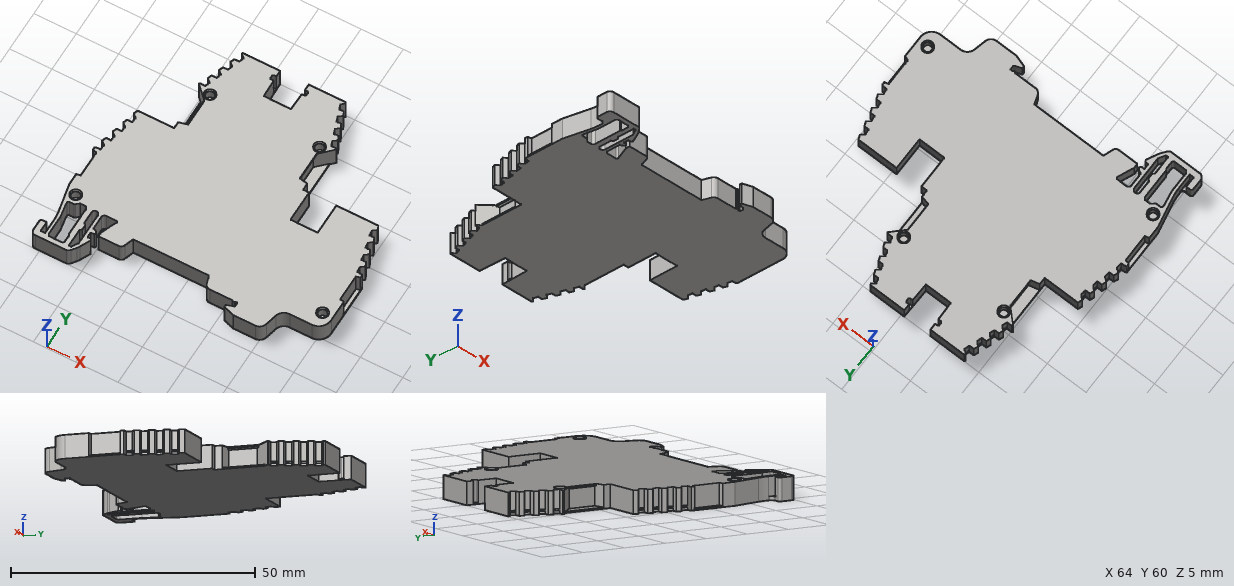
import cadquery as cq
import math

thickness = 5.0

right_wall_x = 64.0
left_wall_x = 0.85
lower_centre_x = (left_wall_x + right_wall_x) / 2
lower_top_y = 37.0
body_base_y = 9.1

upper_centre_x = 27.85
upper_half_width = 15.25
upper_left_x = upper_centre_x - upper_half_width
upper_top_y = 60.0
upper_top_half_width = 12.15

tooth_count = 4
tooth_crest = (-1.15, 0)
tooth_tip = (-1.55, -1.0)
tooth_root = (-0.65, -1.7)
upper_tooth_start = (17.1, 60.7)
upper_tooth_pitch = (-1.0, -2.9)
lower_tooth_start = (5.2, lower_top_y)
lower_tooth_pitch = (-0.8, -3.0)
barb_tip = (11.6, 49.0)
barb_land = 0.2
lower_land_drop = 0.1

slit_bottom_z = 0.6
slit_height = 0.4
slit_depth = 0.25

upper_notch_floor_y = 52.95
upper_notch_half_width = 3.2
upper_notch_top_half_width = 3.4
lower_notch_left_x = 44.5
lower_notch_right_x = 50.9
lower_notch_floor_y = 29.3
dimple_width = 1.15
dimple_bottom_offset = 4.2
dimple_corner_radius = 0.25
dimple_y = 57.8

web_thickness = 0.3
upper_pocket_depth = 2.0
upper_pocket_end_y = 39.1
upper_pocket_mouth_y = 38.7
lip_thickness = 0.3
lip_slope_height = 0.25
lip_overhang = 0.5
lower_pocket_depth = 0.95
lower_pocket_top_y = 24.1
lower_pocket_bottom_y = 17.2
lower_pocket_taper = 0.2

socket_mouth_radius = 1.35
socket_mouth_angle = 90
socket_radius = 1.0
socket_depth = 2.55
upper_socket_offset = 12.95
upper_socket_y = 47.75
lower_socket_offset = 29.15
lower_socket_y = 12.75

clip_slot_floor_z = 0.85
clip_slot_left_x = 1.5
clip_slot_right_x = 2.5
clip_slot_bottom_y = 1.5
hook_top_y = 4.0
hook_fillet_radius = 0.8
clip_window_bottom_y = 1.2
clip_window_top_y = 11.35

foot_base_y = 6.2
rail_hook_base_y = 3.15


def corner_arc(before, corner, after):
    """Start, middle and end of the arc that rounds a corner (x, y, radius)."""
    x, y, radius = corner
    angle_in = math.atan2(before[1] - y, before[0] - x)
    angle_out = math.atan2(after[1] - y, after[0] - x)
    half_angle = abs(math.remainder(angle_out - angle_in, 2 * math.pi)) / 2
    bisector = angle_in + math.remainder(angle_out - angle_in, 2 * math.pi) / 2
    tangent = radius / math.tan(half_angle)
    to_middle = radius / math.sin(half_angle) - radius
    return [
        (x + length * math.cos(angle), y + length * math.sin(angle))
        for length, angle in ((tangent, angle_in), (to_middle, bisector), (tangent, angle_out))
    ]


def rounded_prism(corners, bottom, top):
    """Prism over a closed outline of (x, y) or (x, y, radius) corners; the first is sharp."""
    sketch = cq.Workplane("XY").workplane(offset=bottom).moveTo(*corners[0])
    for index in range(1, len(corners)):
        corner = corners[index]
        if len(corner) == 2:
            sketch = sketch.lineTo(*corner)
        else:
            following = corners[(index + 1) % len(corners)]
            start, middle, end = corner_arc(corners[index - 1], corner, following)
            sketch = sketch.lineTo(*start).threePointArc(middle, end)
    return sketch.close().extrude(top - bottom)


def mirrored_points(points, centre_x):
    return [(2 * centre_x - x, y) for x, y in points]


def mirrored_solid(solid, centre_x):
    return solid.mirror("YZ", (centre_x, 0, 0))


def shifted(point, offset, times=1):
    return (point[0] + times * offset[0], point[1] + times * offset[1])


def tooth_flank(start, pitch):
    """Left flank from the first tooth tip down to the last root corner."""
    points = []
    for index in range(tooth_count):
        upper_corner = shifted(start, pitch, index)
        lower_corner = shifted(start, pitch, index + 1)
        points += [shifted(upper_corner, tooth_tip), shifted(upper_corner, tooth_root), lower_corner]
        if index < tooth_count - 1:
            points.append(shifted(lower_corner, tooth_crest))
    return points


def upper_left_edge():
    """Left edge of the upper tier, from its top to the lower tier."""
    flank = tooth_flank(upper_tooth_start, upper_tooth_pitch)
    barb_base_y = barb_tip[1] - (upper_left_x - barb_tip[0])
    return [
        (upper_centre_x - upper_top_half_width, upper_top_y),
        *flank,
        (barb_tip[0] + barb_land, flank[-1][1]),
        barb_tip,
        (upper_left_x, barb_base_y),
        (upper_left_x, lower_top_y),
    ]


def lower_left_edge():
    """Left flank of the lower tier, from its top to the plain wall."""
    flank = tooth_flank(lower_tooth_start, lower_tooth_pitch)
    last_x, last_y = flank[-1]
    return [
        shifted(lower_tooth_start, tooth_crest),
        *flank,
        ((left_wall_x + last_x) / 2, last_y),
        (left_wall_x, last_y - lower_land_drop),
    ]


def upper_notch():
    left_half = [
        (upper_centre_x - upper_notch_half_width, upper_notch_floor_y),
        (upper_centre_x - upper_notch_top_half_width, upper_top_y),
    ]
    return mirrored_points(left_half, upper_centre_x)[::-1] + left_half


def lower_notch():
    return [
        (lower_notch_left_x, lower_top_y),
        (lower_notch_left_x, lower_notch_floor_y),
        (lower_notch_right_x, lower_notch_floor_y),
        (lower_notch_right_x, lower_top_y),
    ]


clip_edge = [
    (left_wall_x, 14.35),
    (clip_slot_right_x, 6.35, 12.8),
    (clip_slot_right_x, hook_top_y, hook_fillet_radius),
    (0, hook_top_y, 0.6),
    (0, 0, 1.0),
    (8.85, 0, 1.0),
    (10.2, 1.8, 3.85),
    (11.5, 4.5),
    (11.35, 4.9),
    (10.55, 4.9),
    (10.55, foot_base_y),
    (11.4, foot_base_y),
    (11.65, 6.65),
    (11.3, 7.1),
    (10.55, 7.35),
    (10.55, clip_window_top_y, 0.7),
    (14.1, clip_window_top_y, 0.25),
]

foot_edge = [
    (12.35, 7.25),
    (12.35, foot_base_y),
    (17.9, foot_base_y, 1.0),
    (18.95, body_base_y),
    (36.8, body_base_y),
    (37.8, foot_base_y, 1.2),
    (44.0, foot_base_y),
    (44.1, 6.0),
    (44.55, 6.0),
    (44.7, foot_base_y),
    (45.2, foot_base_y),
    (45.2, 5.1, 0.25),
    (43.4, 4.55),
    (43.4, 4.0),
    (46.0, rail_hook_base_y),
    (52.65, rail_hook_base_y, 1.85),
    (54.05, body_base_y, 2.3),
    (right_wall_x, body_base_y, 2.95),
]

clip_wide_window = [
    (3.25, 6.5),
    (3.25, clip_window_bottom_y, 0.5),
    (7.05, clip_window_bottom_y, 0.5),
    (7.05, 3.5),
    (6.85, 3.7),
    (6.85, clip_window_top_y, 0.6),
    (5.1, clip_window_top_y),
    (4.2, 10.55, 0.5),
    (2.7, 10.55, 0.3),
    (2.7, 9.8),
]

clip_narrow_window = [
    (8.25, clip_window_bottom_y),
    (8.85, clip_window_bottom_y),
    (9.75, 2.75),
    (9.75, clip_window_top_y, 0.65),
    (8.25, clip_window_top_y, 0.65),
    (8.25, 7.6),
    (8.7, 7.3),
    (8.7, 6.0),
    (8.25, 5.7),
]


def plate():
    upper_left = upper_left_edge()
    lower_left = lower_left_edge()
    upper_right = mirrored_points(upper_left, upper_centre_x)[::-1]
    lower_right = mirrored_points(lower_left, lower_centre_x)
    outline = (
        upper_left
        + lower_left
        + clip_edge
        + foot_edge
        + lower_right[::-1]
        + lower_notch()[::-1]
        + upper_right
        + upper_notch()
    )
    return rounded_prism(outline, 0, thickness)


def tooth_slits(start, pitch):
    """Shallow slits near the bottom face, one across each tooth root."""
    slits = cq.Workplane("XY")
    for index in range(tooth_count):
        root = shifted(shifted(start, pitch, index), tooth_root)
        corner = shifted(start, pitch, index + 1)
        inward = (slit_depth, 0)
        outline = [root, corner, shifted(corner, inward), shifted(root, inward)]
        slits = slits.add(rounded_prism(outline, slit_bottom_z, slit_bottom_z + slit_height))
    return slits.combine()


def upper_pocket():
    """Pocket behind the upper left wall, undercut below a lip with a sloping underside."""
    outside_x = barb_tip[0]
    floor_x = upper_left_x + upper_pocket_depth

    def outline(inner_x):
        slope = (upper_pocket_end_y - upper_pocket_mouth_y) / upper_pocket_depth
        mouth_y = upper_pocket_mouth_y
        return [
            barb_tip,
            (outside_x, mouth_y),
            (upper_left_x, mouth_y),
            (inner_x, mouth_y + slope * (inner_x - upper_left_x)),
            (inner_x, barb_tip[1] - (inner_x - outside_x)),
        ]

    lip_edge_z = thickness - lip_thickness
    undercut_top_z = lip_edge_z - lip_slope_height
    opening = rounded_prism(outline(floor_x), web_thickness, thickness)
    undercut = rounded_prism(outline(floor_x + lip_overhang), web_thickness, undercut_top_z)
    lip_slope = (
        cq.Workplane("XY", origin=(0, 0, undercut_top_z))
        .polyline(outline(floor_x + lip_overhang))
        .close()
        .workplane(offset=lip_slope_height)
        .polyline(outline(floor_x))
        .close()
        .loft(ruled=True)
    )
    return opening.union(undercut).union(lip_slope)


def lower_pocket():
    floor_x = left_wall_x + lower_pocket_depth
    outline = [
        (left_wall_x, lower_pocket_top_y),
        (floor_x, lower_pocket_top_y - lower_pocket_taper),
        (floor_x, lower_pocket_bottom_y + lower_pocket_taper),
        (left_wall_x, lower_pocket_bottom_y),
    ]
    return rounded_prism(outline, web_thickness, thickness)


def notch_dimple():
    """Groove in the left wall of the upper notch, closed by a web at the bottom."""
    mouth_x = upper_centre_x - upper_notch_half_width
    bottom_x = upper_centre_x - dimple_bottom_offset
    low_y = dimple_y - dimple_width / 2
    high_y = dimple_y + dimple_width / 2
    outline = [
        (mouth_x, low_y),
        (mouth_x, high_y),
        (bottom_x, high_y, dimple_corner_radius),
        (bottom_x, low_y, dimple_corner_radius),
    ]
    return rounded_prism(outline, web_thickness, thickness)


def clip_slot():
    slot_top_y = hook_top_y + hook_fillet_radius
    outline = [
        (clip_slot_left_x, clip_slot_bottom_y),
        (clip_slot_right_x, clip_slot_bottom_y),
        (clip_slot_right_x, slot_top_y),
        (clip_slot_left_x, slot_top_y),
    ]
    return rounded_prism(outline, clip_slot_floor_z, thickness)


def cut_sockets(body):
    centres = [
        (tier_x + side * offset, y)
        for tier_x, offset, y in (
            (upper_centre_x, upper_socket_offset, upper_socket_y),
            (lower_centre_x, lower_socket_offset, lower_socket_y),
        )
        for side in (-1, 1)
    ]
    return (
        cq.Workplane(body.val())
        .copyWorkplane(cq.Workplane("XY", origin=(0, 0, thickness)))
        .pushPoints(centres)
        .cskHole(2 * socket_radius, 2 * socket_mouth_radius, socket_mouth_angle, socket_depth)
    )


body = plate()

upper_cuts = [upper_pocket(), notch_dimple(), tooth_slits(upper_tooth_start, upper_tooth_pitch)]
lower_cuts = [lower_pocket(), tooth_slits(lower_tooth_start, lower_tooth_pitch)]
for cuts, centre_x in ((upper_cuts, upper_centre_x), (lower_cuts, lower_centre_x)):
    for cut in cuts:
        body = body.cut(cut).cut(mirrored_solid(cut, centre_x))

for window in (clip_wide_window, clip_narrow_window):
    body = body.cut(rounded_prism(window, 0, thickness))
body = body.cut(clip_slot())

result = cut_sockets(body)